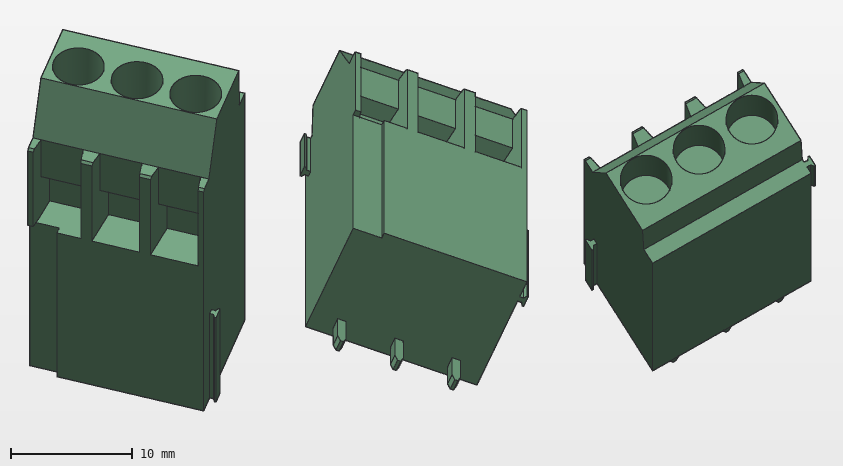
import cadquery as cq
import math


POLE_COUNT = 3
PITCH = 5.08
WIDTH = POLE_COUNT * PITCH
DEPTH = 10.95
HEIGHT = 31.1
FRONT_LEDGE_DEPTH = 1.37
FRONT_LEDGE_Z = 26.1
FRONT_LEDGE_CHAMFER = 0.2
TOP_FRONT_Y = 3.5
TOP_BACK_Y = DEPTH - 1.6
BACK_LEDGE_DEPTH = 1.4
BACK_LEDGE_Z = 26.85

SCREW_HOLE_DIAMETER = 4.25
SCREW_HOLE_Y = 5.7
SCREW_HOLE_DEPTH = HEIGHT - FRONT_LEDGE_Z

OPENING_WIDTH = 4.1
OPENING_DRAFT = 10.0
ENTRY_DEPTH = 2.85
ENTRY_BOTTOM_Z = 17.0
ENTRY_TOP_Z = 22.0
UPPER_BOTTOM_Z = 18.85
UPPER_TOP_Z = HEIGHT

RECESS_DEPTH = 0.5
RECESS_TOP_Z = 17.1

RAIL_PROJECTION = 0.65
RAIL_NECK_LENGTH = 0.35
RAIL_NECK_WIDTH = 0.48
RAIL_LIP = 0.15
LEFT_RAIL_WIDTH = 0.95
LEFT_RAIL_Y = DEPTH - 0.9
LEFT_RAIL_LENGTH = 5.05
RIGHT_RAIL_WIDTH = 1.05
RIGHT_RAIL_Y = 1.82
RIGHT_RAIL_TOP_Z = 9.98

PIN_LENGTH = 3.2
PIN_WIDTH = 0.75
PIN_THICKNESS = 1.0
PIN_Y = DEPTH - 1.25
PIN_TIP_LENGTH = 0.62
PIN_TIP_WIDTH = 0.27

POLE_X = [(pole - (POLE_COUNT - 1) / 2) * PITCH for pole in range(POLE_COUNT)]


def housing_block():
    """The plain housing: its side outline extruded across the row of poles."""
    outline = [
        (0, 0),
        (DEPTH, 0),
        (DEPTH, BACK_LEDGE_Z),
        (DEPTH - BACK_LEDGE_DEPTH, BACK_LEDGE_Z),
        (TOP_BACK_Y, HEIGHT),
        (TOP_FRONT_Y, HEIGHT),
        (FRONT_LEDGE_DEPTH, FRONT_LEDGE_Z),
        (FRONT_LEDGE_CHAMFER, FRONT_LEDGE_Z),
        (0, FRONT_LEDGE_Z - FRONT_LEDGE_CHAMFER),
    ]
    return cq.Workplane("YZ").polyline(outline).close().extrude(WIDTH / 2, both=True)


def screw_hole(x):
    """Cutter for the blind round hole above one pole."""
    return (
        cq.Workplane("XY", origin=(x, SCREW_HOLE_Y, HEIGHT))
        .circle(SCREW_HOLE_DIAMETER / 2)
        .extrude(-SCREW_HOLE_DEPTH)
    )


def drafted_pocket(x, bottom_z, top_z, depth):
    """Cutter for a pocket in the front face whose four walls close in with depth."""
    shrink = 2 * depth * math.tan(math.radians(OPENING_DRAFT))
    height = top_z - bottom_z
    return (
        cq.Workplane("XZ", origin=(x, 0, (bottom_z + top_z) / 2))
        .rect(OPENING_WIDTH, height)
        .workplane(offset=-depth)
        .rect(OPENING_WIDTH - shrink, height - shrink)
        .loft()
    )


def wire_opening(x):
    """Cutter for one wire opening; the upper pocket runs out through the front ledge."""
    upper = drafted_pocket(x, UPPER_BOTTOM_Z, UPPER_TOP_Z, FRONT_LEDGE_DEPTH)
    entry = drafted_pocket(x, ENTRY_BOTTOM_Z, ENTRY_TOP_Z, ENTRY_DEPTH)
    return upper.union(entry)


def front_recess():
    """Cutter for the shallow step at the -X end of the front face."""
    recess_width = WIDTH / 2 + POLE_X[0]
    return cq.Workplane("XY", origin=(-WIDTH / 2, 0, 0)).box(
        recess_width, RECESS_DEPTH, RECESS_TOP_Z, centered=False
    )


def side_rail(side, y, head_width, bottom_z, length):
    """Upright dovetail rail on the +X (side = 1) or -X (side = -1) face."""
    face_x = side * WIDTH / 2
    neck_x = face_x + side * RAIL_NECK_LENGTH
    tip_x = face_x + side * RAIL_PROJECTION
    lip_x = tip_x - side * RAIL_LIP
    half_neck = RAIL_NECK_WIDTH / 2
    half_head = head_width / 2
    profile = [
        (face_x, y - half_neck),
        (neck_x, y - half_neck),
        (lip_x, y - half_head),
        (tip_x, y - half_head),
        (tip_x, y + half_head),
        (lip_x, y + half_head),
        (neck_x, y + half_neck),
        (face_x, y + half_neck),
    ]
    return cq.Workplane("XY", origin=(0, 0, bottom_z)).polyline(profile).close().extrude(length)


def make_housing():
    """Housing with its rails, recess, screw holes and wire openings."""
    body = housing_block()
    body = body.union(
        side_rail(-1, LEFT_RAIL_Y, LEFT_RAIL_WIDTH, BACK_LEDGE_Z - LEFT_RAIL_LENGTH, LEFT_RAIL_LENGTH)
    )
    body = body.union(side_rail(1, RIGHT_RAIL_Y, RIGHT_RAIL_WIDTH, 0, RIGHT_RAIL_TOP_Z))
    body = body.cut(front_recess())
    for x in POLE_X:
        body = body.cut(screw_hole(x)).cut(wire_opening(x))
    return body.solids()


def make_pin(x):
    """Flat solder pin under one pole, standing against the underside, with a tapered tip."""
    half_width = PIN_WIDTH / 2
    half_tip = PIN_TIP_WIDTH / 2
    taper_z = PIN_TIP_LENGTH - PIN_LENGTH
    profile = [
        (-half_width, 0),
        (-half_width, taper_z),
        (-half_tip, -PIN_LENGTH),
        (half_tip, -PIN_LENGTH),
        (half_width, taper_z),
        (half_width, 0),
    ]
    return (
        cq.Workplane("XZ", origin=(x, PIN_Y, 0))
        .polyline(profile)
        .close()
        .extrude(PIN_THICKNESS / 2, both=True)
        .solids()
    )


housing = make_housing()
pins = [make_pin(x) for x in POLE_X]

result = cq.Compound.makeCompound([housing.val(), *[pin.val() for pin in pins]])